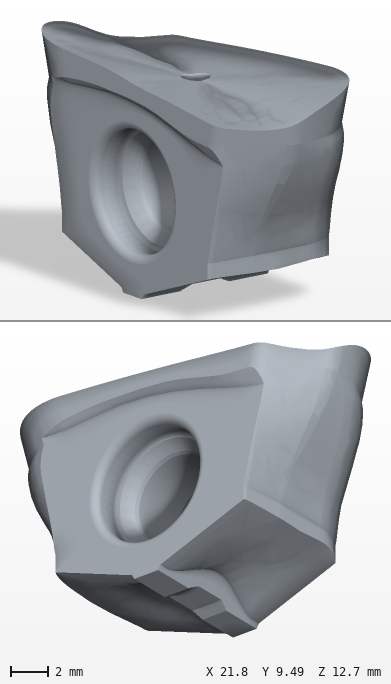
import cadquery as cq
import math


END_X = 10.92
ROUND_CORNER_Y = -4.55
SLANT_NOSE_Y = 1.38
SLANT_CORNER_X = -8.17
SLANT_CORNER_Y = 4.75
ROUND_RADIUS = 5.45
NOSE_RADIUS = 1.2
CORNER_RADIUS = 1.03

RELIEF = 0.27
LAND_BOTTOM_Z = 4.48
HEAD_TOP_Z = 7.2
END_EDGE_Z = 6.12
SLANT_EDGE_Z = 5.45

FOOT_Z = -2.45
FOOT_END_X = 6.88
FOOT_SLANT_CORNER_X = -6.65
FOOT_SLANT_CORNER_Y = 4.8
FOOT_ROUND_START_Y = -2.51
LAND_ROUND_START_Y = 0.4
FOOT_FACE_EDGE_X = 6.49
LAND_FACE_EDGE_X = 7.05
FLANK_STATIONS = [(-1.53, 7.2), (-0.4, 7.73), (0.76, 8.52), (1.99, 9.35), (3.3, 10.02)]

BODY_HALF_WIDTH = 4.24
HEAD_HALF_WIDTH = 4.75
STEP_TOP = [
    (-9.83, 4.7), (-6.99, 5.07), (-5.77, 5.37), (-1.1, 5.5), (2.32, 5.2), (5.25, 4.45), (7.43, 4.22), (9.83, 4.02),
]
STEP_BOTTOM = [
    (-9.83, 4.8), (-6.99, 4.91), (-5.45, 4.87), (-2.4, 5.1), (0.5, 4.98), (2.85, 4.55), (6.33, 3.54), (9.83, 3.05),
]

CENTRE_Z = 5.7
EDGE_POINTS = [
    (0.0, -4.65, 6.38), (-5.77, -4.56, 6.84), (-7.82, -4.17, 6.92), (-9.28, -3.12, 6.95), (-10.35, -1.7, 6.77),
    (-10.92, 0.5, 6.14), (-10.4, 1.99, 5.45), (-9.6, 3.05, 5.33), (-8.56, 4.25, 5.42), (-7.78, 4.72, 5.53),
    (-3.93, 4.7, 5.95),
]
FAN_RADIUS = 13.1
FAN_CENTRE_RADIUS = 0.33
FAN_TOP_Z = 17.47

DIMPLE_RADIUS = 0.75
DIMPLE_FLOOR_RADIUS = 0.52
DIMPLE_FLOOR_Z = 5.5

HOLE_MOUTH_RADIUS = 3.87
SEAT_RADIUS = 3.43
CONE_RADIUS = 3.19
CONE_END_RADIUS = 2.66
BORE_RADIUS = 2.58
SEAT_TOP_DEPTH = 0.52
SEAT_END_DEPTH = 1.46
CONE_TOP_DEPTH = 1.75
CONE_END_DEPTH = 2.4
BORE_TOP_DEPTH = 2.62

BASE_Z = -5.7
RIDGE_HALF_WIDTH = 0.8
RIDGE_WALL_RUN = 0.55
UNDERSIDE_REACH_X = 6.88
UNDERSIDE_MIDDLE_Z = -5.48
UNDERSIDE_MIDDLE_RISE = 1.0
UNDERSIDE_END_Z = -3.25
UNDERSIDE_END_RISE = -0.2
WAVE_HALF_WIDTH = 3.75
WAVE_STEPS = 8

NOTCH_DEPTH = 0.33
NOTCH_MOUTH = 3.28
NOTCH_FLOOR = 1.97

CLEARANCE = 6.55


def half_turn(shape):
    return shape.rotate((0, 0, 0), (0, 0, 1), 180)


def blend(start, end, fraction):
    return start + (end - start) * fraction


def rounded_corner(before, corner, after, radius):
    """Start, middle and end points of an arc of the given radius rounding a polygon corner."""
    corner = cq.Vector(*corner)
    toward_before = (cq.Vector(*before) - corner).normalized()
    toward_after = (cq.Vector(*after) - corner).normalized()
    half_angle = toward_before.getAngle(toward_after) / 2
    bisector = (toward_before + toward_after).normalized()
    setback = radius / math.tan(half_angle)
    return (
        corner + toward_before * setback,
        corner + bisector * (radius / math.sin(half_angle) - radius),
        corner + toward_after * setback,
    )


def outline(z, round_corner, nose, slant_corner, radii):
    """Closed two-fold symmetric outline with three rounded corners at each end."""
    half = [slant_corner, nose, round_corner]
    corners = half + [(-x, -y) for x, y in half]
    arcs = []
    for i, corner in enumerate(corners):
        after = corners[(i + 1) % len(corners)]
        arcs.append(rounded_corner(corners[i - 1], corner, after, radii[i % len(half)]))
    wire = cq.Workplane("XY", origin=(0, 0, z)).moveTo(arcs[0][0].x, arcs[0][0].y)
    for i, (start, middle, end) in enumerate(arcs):
        if i > 0:
            wire = wire.lineTo(start.x, start.y)
        wire = wire.threePointArc((middle.x, middle.y), (end.x, end.y))
    return wire.close().val()


def land_outline(z):
    end_x = END_X + RELIEF * (z - END_EDGE_Z)
    slant_x = SLANT_CORNER_X - RELIEF * (z - SLANT_EDGE_Z)
    return outline(
        z, (-end_x, ROUND_CORNER_Y), (-end_x, SLANT_NOSE_Y), (slant_x, SLANT_CORNER_Y),
        (CORNER_RADIUS, NOSE_RADIUS, ROUND_RADIUS),
    )


def flank_outline(z, end_x):
    height = (z - FOOT_Z) / (LAND_BOTTOM_Z - FOOT_Z)
    land_slant_x = SLANT_CORNER_X - RELIEF * (LAND_BOTTOM_Z - SLANT_EDGE_Z)
    slant_corner = (
        blend(FOOT_SLANT_CORNER_X, land_slant_x, height),
        blend(FOOT_SLANT_CORNER_Y, SLANT_CORNER_Y, height),
    )
    start_y = blend(FOOT_ROUND_START_Y, LAND_ROUND_START_Y, height)
    width = start_y + BODY_HALF_WIDTH
    drop = end_x - blend(FOOT_FACE_EDGE_X, LAND_FACE_EDGE_X, height)
    round_radius = (width**2 + drop**2) / (2 * drop)
    round_corner = (-end_x, start_y - round_radius)
    return outline(
        z, round_corner, (-end_x, SLANT_NOSE_Y), slant_corner, (CORNER_RADIUS, NOSE_RADIUS, round_radius)
    )


def blank():
    """Foot, flared flanks and drafted land, before trimming."""
    foot = flank_outline(FOOT_Z, FOOT_END_X)
    base = foot.translate(cq.Vector(0, 0, BASE_Z - FOOT_Z))
    land_bottom = land_outline(LAND_BOTTOM_Z)
    stations = [flank_outline(z, end_x) for z, end_x in FLANK_STATIONS]
    flank = [foot] + stations + [land_bottom]
    body = cq.Workplane(cq.Solid.makeLoft(flank, False))
    body = body.union(cq.Workplane(cq.Solid.makeLoft([base, foot], True)))
    land = cq.Solid.makeLoft([land_bottom, land_outline(HEAD_TOP_Z)], True)
    return body.union(cq.Workplane(land))


def closed_curve(points):
    return cq.Edge.makeSpline([cq.Vector(*p) for p in points], periodic=True)


def cap(edge):
    return cq.Face.makeFromWires(cq.Wire.assembleEdges([edge]))


def rake_cutter():
    """Everything above the fan of straight rays from the middle to the cutting edge."""
    points = EDGE_POINTS + [(-x, -y, z) for x, y, z in EDGE_POINTS]
    rays = []
    for x, y, z in points:
        run = math.hypot(x, y)
        rays.append((x / run, y / run, (z - CENTRE_Z) / run))
    outer = closed_curve(
        [(FAN_RADIUS * x, FAN_RADIUS * y, CENTRE_Z + FAN_RADIUS * rise) for x, y, rise in rays]
    )
    inner = closed_curve([(FAN_CENTRE_RADIUS * x, FAN_CENTRE_RADIUS * y, CENTRE_Z) for x, y, _ in rays])
    top = closed_curve([(FAN_RADIUS * x, FAN_RADIUS * y, FAN_TOP_Z) for x, y, _ in rays])
    faces = [
        cap(inner),
        cq.Face.makeRuledSurface(inner, outer),
        cq.Face.makeRuledSurface(outer, top),
        cap(top),
    ]
    return cq.Workplane(cq.Solid.makeSolid(cq.Shell.makeShell(faces)))


def step_cutter():
    """Material outside the -Y body face and below the bevelled underside of the head."""
    def section(points, y):
        floor_z = BASE_Z - CLEARANCE
        profile = cq.Workplane("XZ", origin=(0, y, 0)).moveTo(*points[0])
        profile = profile.spline(points[1:], includeCurrent=True)
        return profile.lineTo(points[-1][0], floor_z).lineTo(points[0][0], floor_z).close().val()

    bevel = cq.Solid.makeLoft(
        [section(STEP_BOTTOM, -BODY_HALF_WIDTH), section(STEP_TOP, -HEAD_HALF_WIDTH)], True
    )
    outside = cq.Solid.makeLoft(
        [section(STEP_TOP, -HEAD_HALF_WIDTH), section(STEP_TOP, -HEAD_HALF_WIDTH - CLEARANCE)], True
    )
    return cq.Workplane(bevel).union(cq.Workplane(outside))


def underside_cutter():
    """Material below the -X half of the underside, which is ruled between two wavy lines."""
    def section(x, side_z, rise):
        ys = [WAVE_HALF_WIDTH * (2 * i / WAVE_STEPS - 1) for i in range(WAVE_STEPS + 1)]
        wave = [(y, side_z + rise * (1 + math.cos(math.pi * y / WAVE_HALF_WIDTH)) / 2) for y in ys]
        profile = cq.Workplane("YZ", origin=(x, 0, 0)).moveTo(-CLEARANCE, side_z).lineTo(*wave[0])
        profile = profile.spline(wave[1:], includeCurrent=True).lineTo(CLEARANCE, side_z)
        floor_z = BASE_Z - CLEARANCE
        return profile.lineTo(CLEARANCE, floor_z).lineTo(-CLEARANCE, floor_z).close().val()

    end = section(-UNDERSIDE_REACH_X, UNDERSIDE_END_Z, UNDERSIDE_END_RISE)
    middle = section(-RIDGE_HALF_WIDTH, UNDERSIDE_MIDDLE_Z, UNDERSIDE_MIDDLE_RISE)
    wall_top_x = -RIDGE_HALF_WIDTH + RIDGE_WALL_RUN * BASE_Z
    beyond_wall = cq.Workplane("XZ").polyline([
        (-RIDGE_HALF_WIDTH, BASE_Z), (wall_top_x, 0), (-UNDERSIDE_REACH_X, 0), (-UNDERSIDE_REACH_X, BASE_Z)
    ]).close().extrude(CLEARANCE, both=True)
    return cq.Workplane(cq.Solid.makeLoft([end, middle], True)).intersect(beyond_wall)


def ridge_notch():
    length = 2 * UNDERSIDE_REACH_X
    profile = cq.Workplane("YZ", origin=(-length / 2, 0, 0)).polyline([
        (-NOTCH_MOUTH / 2, BASE_Z),
        (-NOTCH_FLOOR / 2, BASE_Z + NOTCH_DEPTH),
        (NOTCH_FLOOR / 2, BASE_Z + NOTCH_DEPTH),
        (NOTCH_MOUTH / 2, BASE_Z),
    ])
    return profile.close().extrude(length)


def screw_hole():
    """Half of the hole, from the -Y face to the middle: rounded mouth, seat, cone and bore."""
    profile = cq.Workplane("XY", origin=(0, -BODY_HALF_WIDTH, 0)).lineTo(HOLE_MOUTH_RADIUS, 0)
    bulge = math.sqrt(0.5)
    mouth_middle = (
        HOLE_MOUTH_RADIUS - (HOLE_MOUTH_RADIUS - SEAT_RADIUS) * bulge,
        SEAT_TOP_DEPTH * (1 - bulge),
    )
    profile = profile.threePointArc(mouth_middle, (SEAT_RADIUS, SEAT_TOP_DEPTH))
    profile = profile.lineTo(SEAT_RADIUS, SEAT_END_DEPTH)
    profile = profile.tangentArcPoint((CONE_RADIUS, CONE_TOP_DEPTH), relative=False)
    profile = profile.lineTo(CONE_END_RADIUS, CONE_END_DEPTH).lineTo(BORE_RADIUS, BORE_TOP_DEPTH)
    profile = profile.lineTo(BORE_RADIUS, BODY_HALF_WIDTH).lineTo(0, BODY_HALF_WIDTH).close()
    return profile.revolve(360, (0, 0, 0), (0, 1, 0))


def dimple():
    floor = cq.Workplane("XY", origin=(0, 0, DIMPLE_FLOOR_Z)).circle(DIMPLE_FLOOR_RADIUS)
    wall = floor.workplane(offset=HEAD_TOP_Z - DIMPLE_FLOOR_Z)
    slope = (DIMPLE_RADIUS - DIMPLE_FLOOR_RADIUS) / (CENTRE_Z - DIMPLE_FLOOR_Z)
    return wall.circle(DIMPLE_FLOOR_RADIUS + slope * (HEAD_TOP_Z - DIMPLE_FLOOR_Z)).loft()


result = blank().cut(rake_cutter())
for cutter in (step_cutter(), underside_cutter(), screw_hole()):
    result = result.cut(cutter).cut(half_turn(cutter))
result = result.cut(ridge_notch()).cut(dimple())